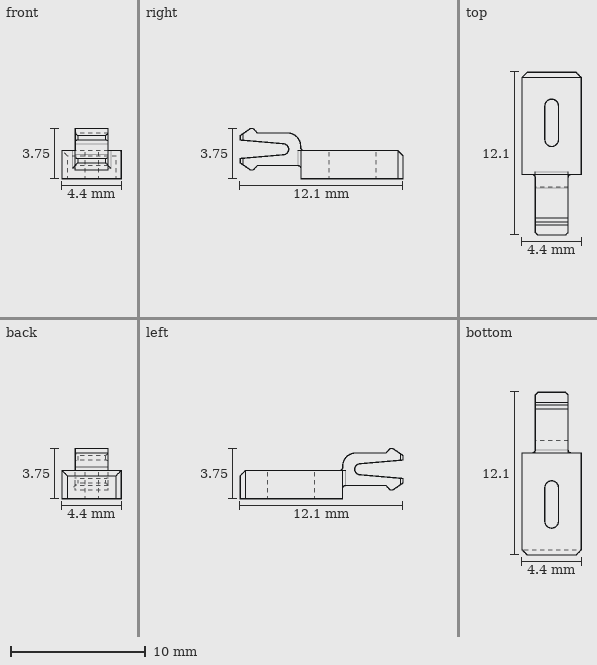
import cadquery as cq
import math

block_width = 4.4
block_length = 7.6
block_height = 2.12
rear_chamfer = 0.4

slot_width = 0.99
slot_length = 3.5
slot_center_y = 3.84

clip_width = 2.46
clip_length = 12.1 - block_length
barb_half_height = 1.55
clip_mid_z = 3.75 - barb_half_height
clip_half_height = 1.22
clip_corner_radius = 1.0
tip_half_height = 1.02
tip_chamfer = 0.2

barb_root = 1.27
barb_crest_back = 0.97
barb_crest_front = 0.77

gap_radius = 0.4
gap_center_y = -1.31
gap_tip_half_height = 0.68

root_fillet = 0.2

tip_y = -clip_length
clip_bottom = clip_mid_z - clip_half_height
clip_top = clip_mid_z + clip_half_height


def extrude_across(profile, width):
    """Extrude a YZ profile symmetrically about X = 0."""
    return profile.extrude(width / 2, both=True)


def make_block():
    block = cq.Workplane("XY").box(
        block_width, block_length, block_height, centered=(True, False, False)
    )
    block = block.faces(">Y").edges("|Z or >Z").chamfer(rear_chamfer)
    slot = (
        cq.Workplane("XY")
        .center(0, slot_center_y)
        .slot2D(slot_length, slot_width, 90)
        .extrude(block_height)
    )
    return block.cut(slot)


def make_gap():
    run = gap_center_y - tip_y
    distance = math.hypot(run, gap_tip_half_height)
    tangent_angle = (
        math.pi
        - math.atan2(gap_tip_half_height, run)
        - math.acos(gap_radius / distance)
    )
    tangent_y = gap_center_y + gap_radius * math.cos(tangent_angle)
    tangent_rise = gap_radius * math.sin(tangent_angle)
    profile = (
        cq.Workplane("YZ")
        .moveTo(tip_y, clip_mid_z + gap_tip_half_height)
        .lineTo(tangent_y, clip_mid_z + tangent_rise)
        .threePointArc(
            (gap_center_y + gap_radius, clip_mid_z),
            (tangent_y, clip_mid_z - tangent_rise),
        )
        .lineTo(tip_y, clip_mid_z - gap_tip_half_height)
        .close()
    )
    return extrude_across(profile, clip_width)


def make_clip():
    barb_top = clip_mid_z + barb_half_height
    barb_bottom = clip_mid_z - barb_half_height
    profile = (
        cq.Workplane("YZ")
        .moveTo(0, clip_bottom)
        .lineTo(0, clip_top - clip_corner_radius)
        .radiusArc((-clip_corner_radius, clip_top), -clip_corner_radius)
        .lineTo(tip_y + barb_root, clip_top)
        .lineTo(tip_y + barb_crest_back, barb_top)
        .lineTo(tip_y + barb_crest_front, barb_top)
        .lineTo(tip_y, clip_mid_z + tip_half_height)
        .lineTo(tip_y, clip_mid_z - tip_half_height)
        .lineTo(tip_y + barb_crest_front, barb_bottom)
        .lineTo(tip_y + barb_crest_back, barb_bottom)
        .lineTo(tip_y + barb_root, clip_bottom)
        .close()
    )
    clip = extrude_across(profile, clip_width)
    clip = clip.faces("<Y").edges("|Z").chamfer(tip_chamfer)
    return clip.cut(make_gap())


def make_root_flare():
    """Concave fillets beside and below the clip, mitred at the lower corners."""
    half_width = clip_width / 2
    plan = (
        cq.Workplane("XY")
        .moveTo(-half_width - root_fillet, 0)
        .radiusArc((-half_width, -root_fillet), root_fillet)
        .lineTo(half_width, -root_fillet)
        .radiusArc((half_width + root_fillet, 0), root_fillet)
        .close()
        .extrude(block_height)
    )
    side = (
        cq.Workplane("YZ")
        .moveTo(0, block_height)
        .lineTo(-root_fillet, block_height)
        .lineTo(-root_fillet, clip_bottom)
        .radiusArc((0, clip_bottom - root_fillet), root_fillet)
        .close()
    )
    return plan.intersect(extrude_across(side, block_width))


def make_top_fillet():
    """Concave fillet between the block top and the back of the clip."""
    profile = (
        cq.Workplane("YZ")
        .moveTo(root_fillet, block_height)
        .radiusArc((0, block_height + root_fillet), root_fillet)
        .lineTo(0, block_height)
        .close()
    )
    return extrude_across(profile, clip_width)


result = make_block().union(make_clip()).union(make_root_flare()).union(make_top_fillet())